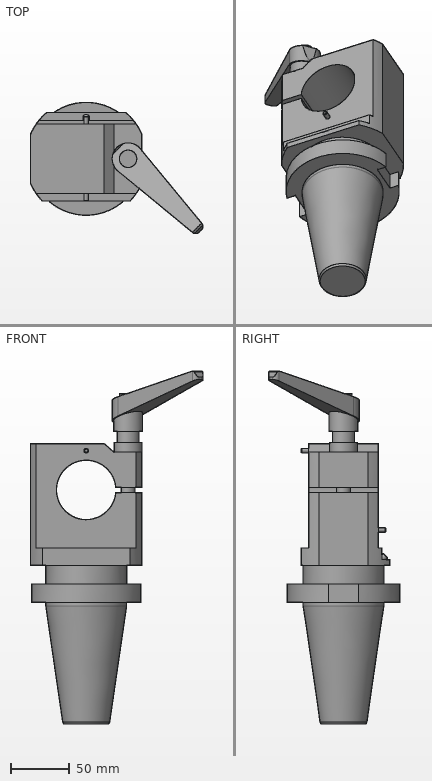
import cadquery as cq
import math

GAUGE_DIAMETER = 69.85
TAPER_LENGTH = 101.75
TAPER_RATIO = 7 / 24
TAPER_END_CHAMFER_HEIGHT = 2.0
TAPER_END_CHAMFER_DEPTH = 1.0
FLANGE_DIAMETER = 97.5
FLANGE_BOTTOM = 3.2
FLANGE_TOP = 19.1
DRIVE_SLOT_WIDTH = 25.7
DRIVE_SLOT_FLOOR = 39.0
NECK_DIAMETER = 70.0

BLOCK_BOTTOM = 35.0
BLOCK_TOP = 140.0
BLOCK_HALF_LENGTH = 48.0
BLOCK_HALF_WIDTH = 30.0
BLOCK_CORNER_RADIUS = 52.5
FOOT_TOP = 50.0
FRONT_FOOT_Y = 36.5
REAR_FOOT_Y = 33.0
LEDGE_TOP = 40.0
LEDGE_Y = 40.0
BORE_DIAMETER = 51.0
BORE_Z = 100.0
SLIT_HEIGHT = 4.5
SHOULDER_Z = 132.5
SHOULDER_SLOPE_TOP_X = 15.5
SHOULDER_SLOPE_END_X = 24.0

PIN_DIAMETER = 4.0
PIN_PROTRUSION = 6.5
PIN_CHAMFER = 0.6
FRONT_PIN_Z = 133.8
REAR_PIN_Z = 65.5
NOZZLE_DIAMETER = 5.5
NOZZLE_PROTRUSION = 4.5
NOZZLE_ROOT = 3.0

SCREW_X = 36.1
SCREW_DIAMETER = 12.0
WASHER_DIAMETER = 24.0
WASHER_TOP = 141.0
SPINDLE_DIAMETER = 19.0
HUB_BOTTOM = 150.5
HUB_DIAMETER = 25.0
CAP_DIAMETER = 15.0
CAP_TOP = 183.0
LEVER_TURN = -45.0
LEVER_HEAD_RADIUS = 13.7
LEVER_TAPER_ANGLE = 5.5
LEVER_TOP_ANGLE = 15.0
LEVER_UNDERSIDE_ANGLE = 20.0
LEVER_PEAK_Z = 202.5
LEVER_PEAK_REACH = 84.0
LEVER_REACH = 88.0
LEVER_UNDERSIDE_Z = 163.2
LEVER_TIP_FILLET = 4.0
TIP_BEVEL_REACH = 1.9
TIP_BEVEL_DROP = 0.9
TIP_FACE_BOTTOM_DROP = 5.4
HEAD_FLAT_Z = 177.0
HEAD_FLAT_REACH = 12.2
HEAD_FLAT_ANGLE = 5.0


def cylinder(diameter, bottom, top, x=0.0):
    """Upright cylinder between two heights."""
    return cq.Workplane("XY", origin=(x, 0, bottom)).circle(diameter / 2).extrude(top - bottom)


def box(x_min, x_max, y_min, y_max, z_min, z_max):
    """Box between opposite corners."""
    size = (x_max - x_min, y_max - y_min, z_max - z_min)
    return cq.Workplane("XY").box(*size, centered=False).translate((x_min, y_min, z_min))


def make_shank():
    """Taper, flange with two drive slots, and neck."""
    gauge_radius = GAUGE_DIAMETER / 2
    chamfer_start = TAPER_LENGTH - TAPER_END_CHAMFER_HEIGHT
    chamfer_radius = gauge_radius - chamfer_start * TAPER_RATIO / 2
    outline = [
        (0, -TAPER_LENGTH),
        (chamfer_radius - TAPER_END_CHAMFER_DEPTH, -TAPER_LENGTH),
        (chamfer_radius, -chamfer_start),
        (gauge_radius, 0),
        (gauge_radius, FLANGE_BOTTOM),
        (FLANGE_DIAMETER / 2, FLANGE_BOTTOM),
        (FLANGE_DIAMETER / 2, FLANGE_TOP),
        (NECK_DIAMETER / 2, FLANGE_TOP),
        (NECK_DIAMETER / 2, BLOCK_BOTTOM),
        (0, BLOCK_BOTTOM),
    ]
    shank = cq.Workplane("XZ").polyline(outline).close().revolve(360, (0, 0, 0), (0, 1, 0))
    half_slot = DRIVE_SLOT_WIDTH / 2
    slot = box(DRIVE_SLOT_FLOOR, FLANGE_DIAMETER, -half_slot, half_slot, FLANGE_BOTTOM, FLANGE_TOP)
    return shank.cut(slot).cut(slot.mirror("YZ"))


def make_block():
    """Split clamp block with stepped foot, round bore and rounded corners."""
    section = [
        (-FRONT_FOOT_Y, BLOCK_BOTTOM),
        (LEDGE_Y, BLOCK_BOTTOM),
        (LEDGE_Y, LEDGE_TOP),
        (REAR_FOOT_Y, LEDGE_TOP),
        (REAR_FOOT_Y, FOOT_TOP),
        (BLOCK_HALF_WIDTH, FOOT_TOP),
        (BLOCK_HALF_WIDTH, BLOCK_TOP),
        (-BLOCK_HALF_WIDTH, BLOCK_TOP),
        (-BLOCK_HALF_WIDTH, FOOT_TOP),
        (-FRONT_FOOT_Y, FOOT_TOP),
    ]
    block = cq.Workplane("YZ").polyline(section).close().extrude(BLOCK_HALF_LENGTH, both=True)
    block = block.intersect(cylinder(2 * BLOCK_CORNER_RADIUS, BLOCK_BOTTOM, BLOCK_TOP))

    shoulder = (
        cq.Workplane("XZ")
        .moveTo(SHOULDER_SLOPE_TOP_X, BLOCK_TOP)
        .lineTo(SHOULDER_SLOPE_END_X, SHOULDER_Z)
        .lineTo(BLOCK_HALF_LENGTH, SHOULDER_Z)
        .lineTo(BLOCK_HALF_LENGTH, BLOCK_TOP)
        .close()
        .extrude(LEDGE_Y, both=True)
    )
    bore = cq.Workplane("XZ").center(0, BORE_Z).circle(BORE_DIAMETER / 2).extrude(LEDGE_Y, both=True)
    half_slit = SLIT_HEIGHT / 2
    slit = box(0, BLOCK_HALF_LENGTH, -LEDGE_Y, LEDGE_Y, BORE_Z - half_slit, BORE_Z + half_slit)
    return block.cut(shoulder).cut(bore).cut(slit)


def make_pin(z, side):
    """Chamfered pin standing out of the +Y (side = 1) or -Y (side = -1) face."""
    pin = cq.Workplane("XZ").circle(PIN_DIAMETER / 2).extrude(-side * (BLOCK_HALF_WIDTH + PIN_PROTRUSION))
    end = ">Y" if side > 0 else "<Y"
    pin = pin.faces(end).chamfer(PIN_CHAMFER).translate((0, 0, z))
    inner = box(-PIN_DIAMETER, PIN_DIAMETER, -BLOCK_HALF_WIDTH, BLOCK_HALF_WIDTH, BLOCK_BOTTOM, BLOCK_TOP)
    return pin.cut(inner)


def make_nozzle():
    """Short nozzle leaning out at 45 degrees from the corner above the rear ledge."""
    plane = cq.Plane(origin=(0, REAR_FOOT_Y, LEDGE_TOP), xDir=(1, 0, 0), normal=(0, 1, 1))
    length = NOZZLE_ROOT + NOZZLE_PROTRUSION
    return cq.Workplane(plane).workplane(offset=-NOZZLE_ROOT).circle(NOZZLE_DIAMETER / 2).extrude(length)


def lever_outline(reach):
    """Plan of the lever along +X: a round head with two tapering tangent sides."""
    taper = math.radians(LEVER_TAPER_ANGLE)
    tangent_x = LEVER_HEAD_RADIUS * math.sin(taper)
    tangent_y = LEVER_HEAD_RADIUS * math.cos(taper)
    tip_y = tangent_y - (reach - tangent_x) * math.tan(taper)
    return (
        cq.Workplane("XY")
        .moveTo(tangent_x, tangent_y)
        .threePointArc((-LEVER_HEAD_RADIUS, 0), (tangent_x, -tangent_y))
        .lineTo(reach, -tip_y)
        .lineTo(reach, tip_y)
        .close()
    )


def make_lever():
    """Rising lever arm, with a drafted flat behind the head and a bevelled tip."""
    arm = lever_outline(LEVER_REACH).extrude(LEVER_PEAK_Z)
    arm = arm.edges("|Z and >X").fillet(LEVER_TIP_FILLET)

    top_slope = math.tan(math.radians(LEVER_TOP_ANGLE))
    underside_slope = math.tan(math.radians(LEVER_UNDERSIDE_ANGLE))
    flat_slope = math.tan(math.radians(HEAD_FLAT_ANGLE))

    def top_z(x):
        return LEVER_PEAK_Z + (x - LEVER_PEAK_REACH) * top_slope

    def underside_z(x):
        return LEVER_UNDERSIDE_Z + x * underside_slope

    def flat_x(z):
        return -HEAD_FLAT_REACH + (z - HEAD_FLAT_Z) * flat_slope

    top_back_x = flat_x(HEAD_FLAT_Z)
    low_back_x = flat_x(underside_z(-LEVER_HEAD_RADIUS))
    side_profile = [
        (low_back_x, underside_z(low_back_x)),
        (top_back_x, top_z(top_back_x)),
        (LEVER_PEAK_REACH, LEVER_PEAK_Z),
        (LEVER_PEAK_REACH + TIP_BEVEL_REACH, LEVER_PEAK_Z - TIP_BEVEL_DROP),
        (LEVER_REACH, LEVER_PEAK_Z - TIP_FACE_BOTTOM_DROP),
        (LEVER_REACH, underside_z(LEVER_REACH)),
    ]
    side = cq.Workplane("XZ").polyline(side_profile).close().extrude(LEVER_HEAD_RADIUS * 2, both=True)
    return arm.intersect(side).rotate((0, 0, 0), (0, 0, 1), LEVER_TURN).translate((SCREW_X, 0, 0))


def make_screw():
    """Clamping screw across the slit, washer, spindle, lever hub and cap."""
    screw = cylinder(SCREW_DIAMETER, BORE_Z - SLIT_HEIGHT, SHOULDER_Z, SCREW_X)
    screw = screw.union(cylinder(WASHER_DIAMETER, SHOULDER_Z, WASHER_TOP, SCREW_X))
    screw = screw.union(cylinder(SPINDLE_DIAMETER, WASHER_TOP, HUB_BOTTOM, SCREW_X))
    hub_top = LEVER_UNDERSIDE_Z + LEVER_HEAD_RADIUS * math.tan(math.radians(LEVER_UNDERSIDE_ANGLE))
    screw = screw.union(cylinder(HUB_DIAMETER, HUB_BOTTOM, hub_top, SCREW_X))
    return screw.union(cylinder(CAP_DIAMETER, hub_top, CAP_TOP, SCREW_X))


result = (
    make_shank()
    .union(make_block())
    .union(make_pin(FRONT_PIN_Z, -1))
    .union(make_pin(REAR_PIN_Z, 1))
    .union(make_nozzle())
    .union(make_screw())
    .union(make_lever())
)